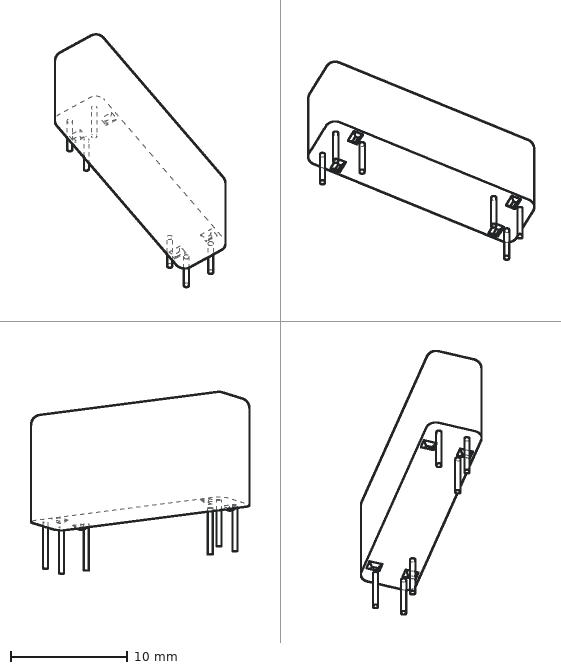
import cadquery as cq

body_length = 19.99
body_width = 4.98
body_height = 9.42
edge_radius = 0.88

pin_pitch = 2.54
pin_diameter = 0.45
pin_length = 4.04
row_y = pin_pitch / 2
front_columns = (-3.5, -2.5, 2.5, 3.5)
rear_columns = (-3.5, 3.5)

foot_length_x = 0.88
foot_length_y = 1.15
foot_height = 0.3
foot_outer_y = 2.22
foot_spacing_x = 6 * pin_pitch
foot_shift_x = 0.44
foot_taper = 45


def make_body():
    block = cq.Workplane("XY").box(
        body_length, body_width, body_height, centered=(True, True, False)
    )
    return block.edges("|Z or >Z").fillet(edge_radius)


def make_pins(columns, y):
    centers = [(column * pin_pitch, y) for column in columns]
    return cq.Workplane("XY").pushPoints(centers).circle(pin_diameter / 2).extrude(-pin_length)


def make_feet():
    foot_y = foot_outer_y - foot_length_y / 2
    centers = [
        (foot_shift_x + side * foot_spacing_x / 2, end * foot_y)
        for side in (-1, 1)
        for end in (-1, 1)
    ]
    return (
        cq.Workplane("XY")
        .pushPoints(centers)
        .rect(foot_length_x, foot_length_y)
        .extrude(-foot_height, taper=foot_taper)
    )


result = (
    make_body()
    .union(make_feet())
    .union(make_pins(front_columns, -row_y))
    .union(make_pins(rear_columns, row_y))
)